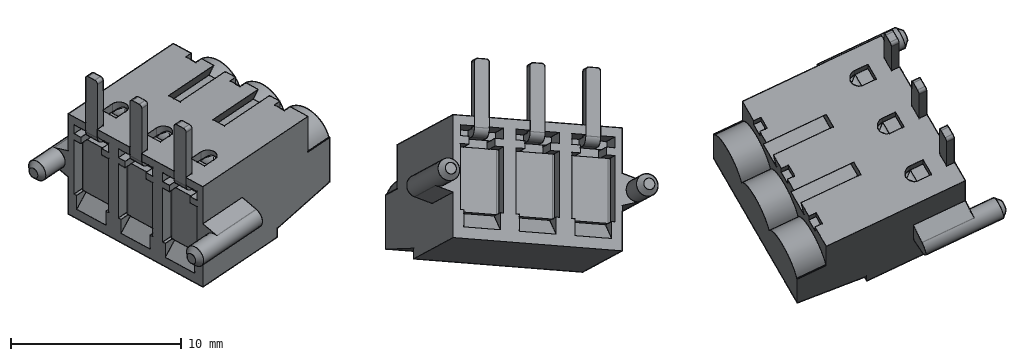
import cadquery as cq
import math


POLE_COUNT = 3
PITCH = 3.5
POLE_XS = [(i - (POLE_COUNT - 1) / 2) * PITCH for i in range(POLE_COUNT)]

HOUSING_WIDTH = 10.65
HOUSING_DEPTH = 11.16
HOUSING_HEIGHT = 7.4
REAR_STEP_DEPTH = 1.93
SLOPE_DEPTH = 4.61
SLOPE_REAR_Z = 1.5
SLOPE_FRONT_Z = 0.65
STEP_Y = HOUSING_DEPTH - REAR_STEP_DEPTH

LOBE_TOP_Z = 6.0
SHELF_Z = 4.76
LOBE_RISE = LOBE_TOP_Z - SHELF_Z

ROOF_SLOT_WIDTH = 0.9
ROOF_SLOT_LENGTH = 3.97
ROOF_SLOT_DEPTH = 0.91
ROOF_SLOT_UNDERCUT = 0.39
ROOF_SLOT_SHIFT = 0.08
REAR_NOTCH_WIDTH = 0.79
REAR_NOTCH_LENGTH = 0.48
REAR_NOTCH_DEPTH = 0.53

OVERALL_WIDTH = 13.85
PEG_RADIUS = 0.68
PEG_X = OVERALL_WIDTH / 2 - PEG_RADIUS
PEG_Z = HOUSING_HEIGHT / 2
PEG_PROJECTION = 2.04
PEG_CHAMFER = 0.33
LUG_LENGTH = 3.46
LUG_ROOT_HEIGHT = 1.94

PIN_THICKNESS = 0.51
LEG_WIDTH = 0.94
LEG_FRONT_Y = 0.03
LEG_PROJECTION = 3.5
LEG_TOP_Z = HOUSING_HEIGHT + LEG_PROJECTION
LEG_TIP_RADIUS = 0.21
PLATE_WIDTH = 2.55
PLATE_BOTTOM_Z = 6.23
PLATE_TOP_Z = PLATE_BOTTOM_Z + PIN_THICKNESS
SHOULDER_Y = 1.11

WINDOW_WIDTH = 1.08
WINDOW_FRONT_Y = 1.58
WINDOW_REAR_Y = 2.99
DOME_WIDTH = WINDOW_WIDTH
DOME_HEIGHT = 0.33
DOME_FRONT_Y = 2.41
CHAMBER_DEPTH = DOME_FRONT_Y + DOME_WIDTH

CLAMP_FRONT_Y = 0.61
CLAMP_WIDTH = 2.71
CLAMP_BOTTOM_Z = 1.72
CLAMP_TOP_Z = 5.62
CLAMP_EDGE_RADIUS = 0.21
NECK_WIDTH = 1.5

CLEARANCE = 0.07
OPENING_WIDTH = CLAMP_WIDTH
POCKET_WIDTH = 2.3
POCKET_BOTTOM_Z = 0.69


def box(x, width, y0, y1, z0, z1):
    """Box centred on x, between two Y and two Z limits."""
    return cq.Workplane("XY").box(width, y1 - y0, z1 - z0, centered=(True, False, False)).translate((x, y0, z0))


def housing_block():
    """Stepped side profile across the full width, with the rear step left at shelf height."""
    profile = [
        (0, 0),
        (HOUSING_DEPTH - SLOPE_DEPTH, 0),
        (HOUSING_DEPTH - SLOPE_DEPTH, SLOPE_FRONT_Z),
        (HOUSING_DEPTH, SLOPE_REAR_Z),
        (HOUSING_DEPTH, SHELF_Z),
        (STEP_Y, SHELF_Z),
        (STEP_Y, HOUSING_HEIGHT),
        (0, HOUSING_HEIGHT),
    ]
    return cq.Workplane("YZ").polyline(profile).close().extrude(HOUSING_WIDTH / 2, both=True)


def lobe(x):
    """Round-topped ridge along Y on the rear step."""
    half = PITCH / 2
    return (
        cq.Workplane("XZ", origin=(x, HOUSING_DEPTH, SHELF_Z))
        .moveTo(-half, 0)
        .threePointArc((0, LOBE_RISE), (half, 0))
        .close()
        .extrude(REAR_STEP_DEPTH)
    )


def guide_peg(side):
    """Chamfered peg joined to the housing by a lug whose flanks are tangent to the peg."""
    peg = (
        cq.Workplane("XZ", origin=(side * PEG_X, LUG_LENGTH, PEG_Z))
        .circle(PEG_RADIUS)
        .extrude(LUG_LENGTH + PEG_PROJECTION)
        .faces("<Y")
        .chamfer(PEG_CHAMFER)
    )
    root_offset = PEG_X - HOUSING_WIDTH / 2
    root_half = LUG_ROOT_HEIGHT / 2
    root_distance = math.hypot(root_offset, root_half)
    tangent_angle = math.atan2(root_half, -root_offset) - math.acos(PEG_RADIUS / root_distance)
    tangent_x = side * (PEG_X + PEG_RADIUS * math.cos(tangent_angle))
    tangent_z = PEG_RADIUS * math.sin(tangent_angle)
    root_x = side * HOUSING_WIDTH / 2
    lug = (
        cq.Workplane("XZ", origin=(0, 0, PEG_Z))
        .polyline([(root_x, root_half), (tangent_x, tangent_z), (tangent_x, -tangent_z), (root_x, -root_half)])
        .close()
        .extrude(-LUG_LENGTH)
    )
    return peg.union(lug)


def front_opening(x):
    """Stepped chamber for pin and clamp, with a notch for the leg and a sloped pocket below."""
    plate_slot_top = PLATE_TOP_Z + CLEARANCE
    plate_slot = box(x, OPENING_WIDTH, 0, CHAMBER_DEPTH, PLATE_BOTTOM_Z - CLEARANCE, plate_slot_top)
    neck_slot = box(x, NECK_WIDTH + 2 * CLEARANCE, 0, CHAMBER_DEPTH, CLAMP_TOP_Z, PLATE_BOTTOM_Z)
    clamp_slot = box(x, OPENING_WIDTH, 0, CHAMBER_DEPTH, CLAMP_BOTTOM_Z, CLAMP_TOP_Z + CLEARANCE)
    leg_notch = box(x, LEG_WIDTH, 0, LEG_FRONT_Y + PIN_THICKNESS, PLATE_TOP_Z, HOUSING_HEIGHT)
    pocket_rise = CLAMP_BOTTOM_Z - POCKET_BOTTOM_Z
    pocket = (
        cq.Workplane("YZ", origin=(x, 0, POCKET_BOTTOM_Z))
        .polyline([(0, 0), (pocket_rise, pocket_rise), (0, pocket_rise)])
        .close()
        .extrude(POCKET_WIDTH / 2, both=True)
    )
    return plate_slot.union(neck_slot).union(clamp_slot).union(leg_notch).union(pocket)


def roof_window(x):
    """Window through the roof with a straight front edge and a semicircular rear end."""
    half = WINDOW_WIDTH / 2
    arc_y = WINDOW_REAR_Y - half
    return (
        cq.Workplane("XY", origin=(x, 0, PLATE_TOP_Z))
        .moveTo(-half, WINDOW_FRONT_Y)
        .lineTo(half, WINDOW_FRONT_Y)
        .lineTo(half, arc_y)
        .threePointArc((0, WINDOW_REAR_Y), (-half, arc_y))
        .close()
        .extrude(HOUSING_HEIGHT - PLATE_TOP_Z)
    )


def rear_notch(x):
    """Small notch at the rear edge of the roof."""
    return box(x, REAR_NOTCH_WIDTH, STEP_Y - REAR_NOTCH_LENGTH, STEP_Y,
               HOUSING_HEIGHT - REAR_NOTCH_DEPTH, HOUSING_HEIGHT)


def roof_slot(x):
    """Long dovetail slot in the roof, wider at its floor and open at the rear step."""
    top_half = ROOF_SLOT_WIDTH / 2
    floor_half = top_half + ROOF_SLOT_UNDERCUT
    return (
        cq.Workplane("XZ", origin=(x, STEP_Y, HOUSING_HEIGHT))
        .polyline([
            (-top_half, 0),
            (top_half, 0),
            (floor_half, -ROOF_SLOT_DEPTH),
            (-floor_half, -ROOF_SLOT_DEPTH),
        ])
        .close()
        .extrude(ROOF_SLOT_LENGTH)
    )


def make_contact_dome(x):
    """Square dome on the pin plate, shaped by two crossing arches of equal span."""
    half = DOME_WIDTH / 2
    centre = (x, DOME_FRONT_Y + half, PLATE_TOP_Z)

    def arch(plane):
        return (
            cq.Workplane(plane, origin=centre)
            .moveTo(-half, 0)
            .threePointArc((0, DOME_HEIGHT), (half, 0))
            .close()
            .extrude(half, both=True)
        )

    return arch("XZ").intersect(arch("YZ"))


def make_pin(x):
    """Leg bent into a flat plate: one side profile, then wider shoulders on the plate."""
    bend_y = LEG_FRONT_Y + PIN_THICKNESS
    bend_middle = PIN_THICKNESS * math.sqrt(0.5)
    bent_strip = (
        cq.Workplane("YZ", origin=(x, 0, 0))
        .moveTo(LEG_FRONT_Y, LEG_TOP_Z)
        .lineTo(LEG_FRONT_Y, PLATE_TOP_Z)
        .threePointArc((bend_y - bend_middle, PLATE_TOP_Z - bend_middle), (bend_y, PLATE_BOTTOM_Z))
        .lineTo(CHAMBER_DEPTH, PLATE_BOTTOM_Z)
        .lineTo(CHAMBER_DEPTH, PLATE_TOP_Z)
        .lineTo(bend_y, PLATE_TOP_Z)
        .lineTo(bend_y, LEG_TOP_Z)
        .close()
        .extrude(LEG_WIDTH / 2, both=True)
        .faces(">Z")
        .edges("|Y")
        .fillet(LEG_TIP_RADIUS)
    )
    shoulders = box(x, PLATE_WIDTH, SHOULDER_Y, CHAMBER_DEPTH, PLATE_BOTTOM_Z, PLATE_TOP_Z)
    return bent_strip.union(shoulders)


def make_clamp(x):
    """Block with rounded front edges on the chamber floor, and a neck up to the pin plate."""
    block = (
        box(x, CLAMP_WIDTH, CLAMP_FRONT_Y, CHAMBER_DEPTH, CLAMP_BOTTOM_Z, CLAMP_TOP_Z)
        .faces("<Y")
        .edges("|Z")
        .fillet(CLAMP_EDGE_RADIUS)
    )
    neck = box(x, NECK_WIDTH, SHOULDER_Y, CHAMBER_DEPTH, CLAMP_TOP_Z, PLATE_BOTTOM_Z)
    return block.union(neck)


def make_housing():
    """Block with lobes and pegs, cut by the chambers, windows, notches, dome recesses and slots."""
    housing = housing_block()
    for x in POLE_XS:
        housing = housing.union(lobe(x))
    for side in (-1, 1):
        housing = housing.union(guide_peg(side))
    for x in POLE_XS:
        housing = housing.cut(front_opening(x)).cut(roof_window(x)).cut(rear_notch(x))
        housing = housing.cut(make_contact_dome(x))
    for x in POLE_XS[:-1]:
        housing = housing.cut(roof_slot(x + PITCH / 2 + ROOF_SLOT_SHIFT))
    return housing


housing = make_housing()
pins = [make_pin(x).val() for x in POLE_XS]
clamps = [make_clamp(x).val() for x in POLE_XS]
contact_domes = [make_contact_dome(x).val() for x in POLE_XS]

result = cq.Compound.makeCompound([housing.val(), *pins, *clamps, *contact_domes])